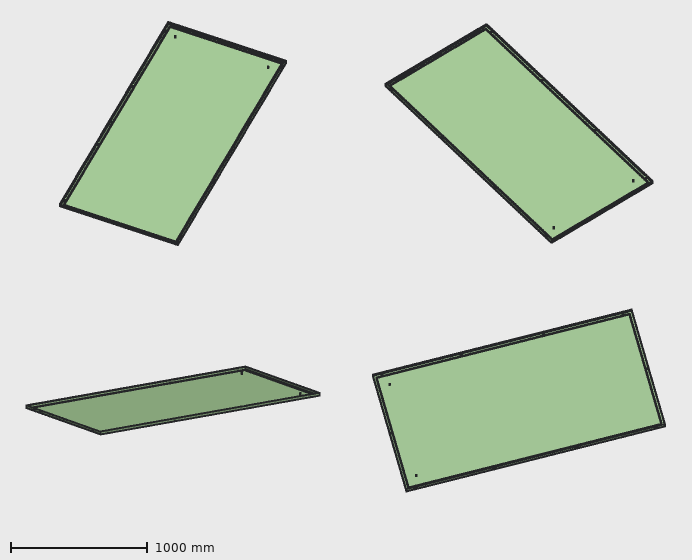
import cadquery as cq

WIDTH = 945.0
LENGTH = 1961.0
HEIGHT = 22.0
SHEET = 1.47
BEND_RADIUS = 2.0
FLANGE_WIDTH = 10.8

FIXING_Y = (-912.0, -312.0, 312.0, 912.0)
FIXING_HOLE_DIAMETER = 8.5
FIXING_HOLE_MARGIN = 11.2
NOTCH_DEPTH = 5.5
NOTCH_LENGTH = 25.0

END_HOLE_DIAMETER = 8.0
END_HOLE_MARGIN = 10.0

STUD_X = 370.0
STUD_Y = 879.0
STUD_DIAMETER = 7.0
STUD_HEIGHT = 12.2
WALL_HOLE_DIAMETER = 7.0

GASKET_WIDTH = 5.0
GASKET_SIDE_HEIGHT = 1.2
GASKET_DOME_HEIGHT = 2.4
GASKET_SIDE_MARGIN = 22.0
GASKET_END_MARGIN = 20.0
GASKET_INNER_RADIUS = 1.0


def block(width, length, bottom, top):
    """Box centred on the Z axis between two heights."""
    base = cq.Workplane("XY", origin=(0, 0, bottom))
    return base.box(width, length, top - bottom, centered=(True, True, False))


def floor_holes(points, diameter):
    """Cutters that reach through the pan floor."""
    return cq.Workplane("XY").pushPoints(points).circle(diameter / 2).extrude(SHEET)


def make_shell():
    """Pan with upright short walls and long walls that return inward."""
    inner_length = LENGTH - 2 * SHEET
    outside = block(WIDTH, LENGTH, 0, HEIGHT).edges("|Y").fillet(BEND_RADIUS)
    outside = outside.edges("<Z and |X").fillet(BEND_RADIUS)
    cavity = block(WIDTH - 2 * SHEET, inner_length, SHEET, HEIGHT - SHEET)
    cavity = cavity.edges("|Y").fillet(BEND_RADIUS - SHEET)
    mouth = block(WIDTH - 2 * FLANGE_WIDTH, inner_length, HEIGHT / 2, HEIGHT)
    return outside.cut(cavity).cut(mouth)


def cut_fixings(pan):
    """Flange notches with a fixing hole below each."""
    notch_span = WIDTH - 2 * (FLANGE_WIDTH - NOTCH_DEPTH)
    for y in FIXING_Y:
        notch_pair = block(notch_span, NOTCH_LENGTH, HEIGHT / 2, HEIGHT)
        pan = pan.cut(notch_pair.translate((0, y, 0)))
    hole_x = WIDTH / 2 - FIXING_HOLE_MARGIN
    points = [(x, y) for x in (-hole_x, hole_x) for y in FIXING_Y]
    return pan.cut(floor_holes(points, FIXING_HOLE_DIAMETER))


def cut_end_holes(pan):
    """One floor hole near the middle of each short side."""
    hole_y = LENGTH / 2 - END_HOLE_MARGIN
    return pan.cut(floor_holes([(0, -hole_y), (0, hole_y)], END_HOLE_DIAMETER))


def cut_wall_holes(pan):
    """Two holes through the front wall only, at half its height."""
    points = [(-STUD_X, HEIGHT / 2), (STUD_X, HEIGHT / 2)]
    holes = cq.Workplane("XZ").pushPoints(points).circle(WALL_HOLE_DIAMETER / 2)
    return pan.cut(holes.extrude(LENGTH / 2))


def make_pan():
    return cut_wall_holes(cut_end_holes(cut_fixings(make_shell())))


def make_gasket():
    """Domed section swept around a rounded rectangle, its inner outline."""
    half_width = WIDTH / 2 - GASKET_SIDE_MARGIN - GASKET_WIDTH
    half_length = LENGTH / 2 - GASKET_END_MARGIN - GASKET_WIDTH
    outline = cq.Sketch().rect(2 * half_width, 2 * half_length).vertices().fillet(GASKET_INNER_RADIUS)
    inner_plate = cq.Workplane("XY", origin=(0, 0, SHEET)).placeSketch(outline).extrude(HEIGHT)
    path = inner_plate.faces("<Z").wires()
    crest = GASKET_SIDE_HEIGHT + GASKET_DOME_HEIGHT
    section = (
        cq.Workplane("XZ", origin=(-half_width, 0, SHEET))
        .lineTo(-GASKET_WIDTH, 0)
        .lineTo(-GASKET_WIDTH, GASKET_SIDE_HEIGHT)
        .threePointArc((-GASKET_WIDTH / 2, crest), (0, GASKET_SIDE_HEIGHT))
        .close()
    )
    return section.sweep(path)


def make_stud(x):
    foot = cq.Workplane("XY", origin=(x, STUD_Y, SHEET))
    return foot.circle(STUD_DIAMETER / 2).extrude(STUD_HEIGHT)


pan = make_pan()
gasket = make_gasket()
studs = [make_stud(x) for x in (-STUD_X, STUD_X)]

result = cq.Compound.makeCompound([pan.val(), gasket.val(), *[stud.val() for stud in studs]])